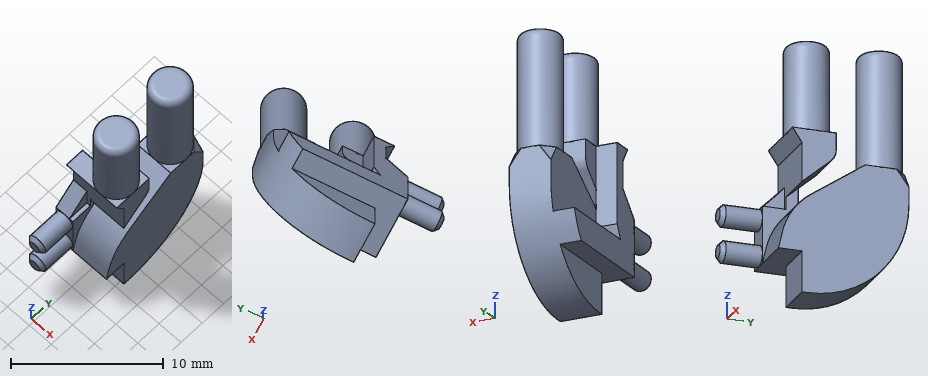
import cadquery as cq
import math

width = 4.6
depth = 11.93
height = 17.8

post_diameter = 3.05
post_radius = post_diameter / 2
post_rounding = 0.5
rear_post_base = 9.49
front_post_base = 11.46
front_post_front = 3.81

plate_thickness = width - post_diameter
plate_front = 2.83
plate_bottom = 2.87
plate_nose_top = 6.89
rail_top = 4.85
column_rear = front_post_front + post_radius
neck_front = 4.47
neck_top = 10.47
neck_bottom = 8.5
notch_tip = (4.86, rail_top)
notch_top = 5.78
nose_step_x = 1.23

rear_radius = 7.03
rear_center_y = depth - rear_radius

slope_start_y = depth - post_diameter
bulge_start = (5.1, 6.95)
bulge_end = (3.05, 3.81)

arm_rear = front_post_front + post_diameter
arm_front_bottom = 7.75
arm_corner_height = 9.77
arm_rounding = 1.01

corner_run = 0.85
corner_drop = 1.15

pin_diameter = 1.5
pin_radius = pin_diameter / 2
pin_heights = (plate_bottom + pin_radius, plate_nose_top - pin_radius)
pin_chamfer = 0.3


def rear_arc_y(z):
    """Y of the rounded rear surface at height z."""
    return rear_center_y + math.sqrt(rear_radius**2 - (rear_radius - z) ** 2)


def rear_arc_middle(low, high):
    """Point on the rounded rear surface halfway between two heights."""
    z = (low + high) / 2
    return rear_arc_y(z), z


def yz_plane(x):
    return cq.Workplane("YZ", origin=(x, 0, 0))


def make_block():
    block = (
        yz_plane(plate_thickness)
        .moveTo(neck_front, 0)
        .lineTo(rear_center_y, 0)
        .threePointArc(rear_arc_middle(0, rear_radius), (depth, rear_radius))
        .lineTo(depth, rear_post_base)
        .lineTo(slope_start_y, rear_post_base)
        .lineTo(*bulge_start)
        .tangentArcPoint((bulge_end[0] - bulge_start[0], bulge_end[1] - bulge_start[1]))
        .lineTo(plate_front, plate_bottom)
        .lineTo(neck_front, plate_bottom)
        .close()
        .extrude(post_diameter)
    )
    for x, inward in ((plate_thickness, 1), (width, -1)):
        block = block.cut(make_corner_bevel(x, inward))
    return block


def make_corner_bevel(x, inward):
    """Tetrahedron that bevels an upper rear corner of the block."""
    corner = cq.Vector(x, depth, rear_post_base)
    across = corner + cq.Vector(inward * corner_run, 0, 0)
    forward = corner - cq.Vector(0, corner_run, 0)
    below = corner - cq.Vector(0, 0, corner_drop)
    triangles = (
        (corner, across, forward),
        (corner, across, below),
        (corner, forward, below),
        (across, forward, below),
    )
    faces = [cq.Face.makeFromWires(cq.Wire.makePolygon(points, close=True)) for points in triangles]
    return cq.Solid.makeSolid(cq.Shell.makeShell(faces))


def make_plate():
    plate = (
        yz_plane(0)
        .moveTo(plate_front, plate_bottom)
        .lineTo(rear_arc_y(plate_bottom), plate_bottom)
        .threePointArc(rear_arc_middle(plate_bottom, rail_top), (rear_arc_y(rail_top), rail_top))
        .lineTo(*notch_tip)
        .lineTo(column_rear, notch_top)
        .lineTo(column_rear, front_post_base)
        .lineTo(front_post_front, front_post_base)
        .lineTo(neck_front, neck_top)
        .lineTo(neck_front, neck_bottom)
        .lineTo(plate_front, plate_nose_top)
        .close()
        .extrude(plate_thickness)
    )
    nose_step = cq.Workplane("XY").box(
        plate_thickness - nose_step_x,
        neck_front - plate_front,
        neck_bottom - plate_nose_top,
        centered=False,
    )
    return plate.cut(nose_step.translate((nose_step_x, plate_front, plate_nose_top)))


def make_arm():
    arm = (
        yz_plane(plate_thickness)
        .moveTo(front_post_front, front_post_base)
        .lineTo(neck_front, neck_top)
        .lineTo(neck_front, arm_front_bottom)
        .lineTo(arm_rear, arm_corner_height)
        .lineTo(arm_rear, front_post_base)
        .close()
        .extrude(post_diameter)
    )
    lower_rear_edge = cq.selectors.NearestToPointSelector(
        (plate_thickness + post_radius, arm_rear, arm_corner_height)
    )
    return arm.edges(lower_rear_edge).fillet(arm_rounding)


def make_post(y, base):
    return (
        cq.Workplane("XY", origin=(width - post_radius, y, base))
        .circle(post_radius)
        .extrude(height - base)
        .faces(">Z")
        .edges()
        .fillet(post_rounding)
    )


def make_pin(z):
    return (
        cq.Workplane("XZ", origin=(plate_thickness / 2, plate_front, z))
        .circle(pin_radius)
        .extrude(plate_front)
        .faces("<Y")
        .edges()
        .chamfer(pin_chamfer)
    )


result = make_block().union(make_plate()).union(make_arm())
result = result.union(make_post(depth - post_radius, rear_post_base))
result = result.union(make_post(front_post_front + post_radius, front_post_base))
for pin_height in pin_heights:
    result = result.union(make_pin(pin_height))